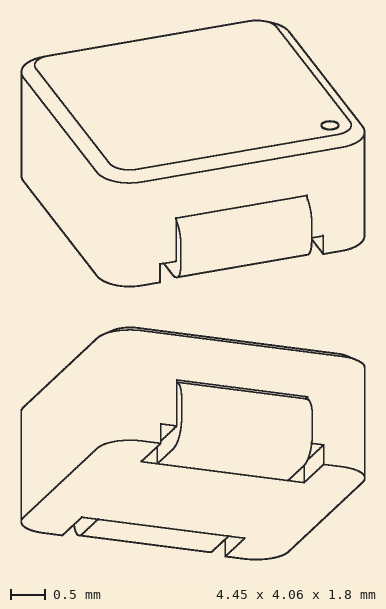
import cadquery as cq

housing_side = 4.06
housing_height = 1.8
corner_radius = 0.5
bevel_height = 0.11
bevel_inset = 0.19

mark_diameter = 0.25
mark_depth = 0.01
mark_offset = housing_side / 2 - corner_radius

lead_span = 4.45
lead_width = 2.0
lead_height = 1.0
lead_thickness = 0.3
outer_bend_radius = 0.345
inner_bend_radius = outer_bend_radius - lead_thickness
foot_length = 1.0

notch_width = 2.49
foot_gap = lead_span - 2 * foot_length


def block(length, width, height, base=0.0):
    """Box centred on the Z axis, standing on the level `base`."""
    return cq.Workplane("XY").workplane(offset=base).rect(length, width).extrude(height)


def strip_loop(outer_radius):
    """C-shaped strip, open at the bottom; an outer radius of zero leaves the outer bends square."""
    outside = block(lead_span, lead_width, lead_height)
    if outer_radius > 0:
        outside = outside.edges("|Y").fillet(outer_radius)

    inside_span = lead_span - 2 * lead_thickness
    inside_height = lead_height - 2 * lead_thickness
    inside = block(inside_span, lead_width, inside_height, lead_thickness)
    inside = inside.edges("|Y").fillet(inner_bend_radius)

    opening = block(foot_gap, lead_width, lead_thickness)
    return outside.cut(inside).cut(opening)


def make_lead():
    return strip_loop(outer_bend_radius)


def housing_block():
    """Rounded block whose top edge is bevelled all the way round."""
    body = block(housing_side, housing_side, housing_height)
    body = body.edges("|Z").fillet(corner_radius)
    return body.faces(">Z").chamfer(bevel_height, bevel_inset)


def foot_notches():
    """Two pockets, open below and at the sides, that hold the feet."""
    notches = block(lead_span, notch_width, lead_thickness)
    return notches.cut(block(foot_gap, notch_width, lead_thickness))


def polarity_mark():
    """Shallow round recess in the top face."""
    mark = cq.Workplane("XY").circle(mark_diameter / 2).extrude(mark_depth)
    return mark.translate((mark_offset, mark_offset, housing_height - mark_depth))


def make_housing():
    lead_passage = strip_loop(0)
    return housing_block().cut(lead_passage).cut(foot_notches()).cut(polarity_mark())


housing = make_housing()
lead = make_lead()

result = cq.Compound.makeCompound([housing.val(), lead.val()])